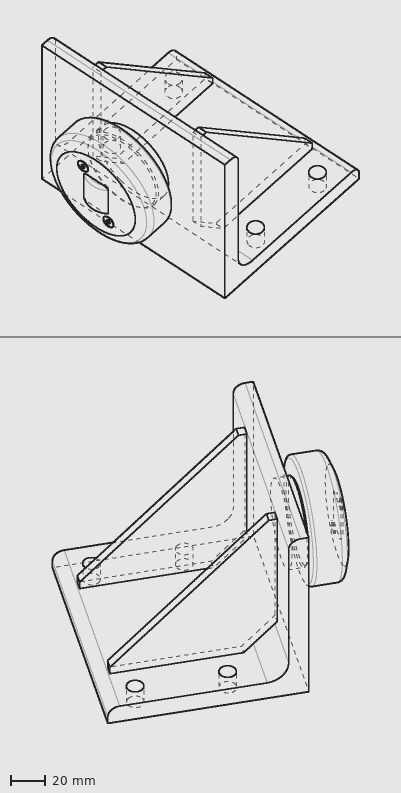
import cadquery as cq
import math

length = 140.0
overall_depth = 156.5
leg = 120.0
leg_thickness = 12.0
toe_radius = 7.0
root_radius = 12.8

gusset_thickness = 6.0
gusset_inner_half_gap = 35.2
gusset_reach = 111.9
gusset_end_height = 5.0
gusset_notch = 20.0

hole_diameter = 10.2
hole_half_spacing = 55.1
hole_rows = (44.9, 100.2)

axis_height = 70.1
hub_diameter = 54.0
hub_end_diameter = 52.0
hub_length = 10.3
roller_diameter = 78.0
roller_face_diameter = 60.1
roller_cone_start = 29.9
roller_front = 33.3
roller_front_radius = 3.9
roller_back_radius = 1.7

nose_width = 18.6
nose_height = 24.1
nose_rise = overall_depth - leg - roller_front
nose_end_radius = 1.9
screw_diameter = 7.8
screw_socket_diameter = 2.5
screw_rise = 0.5
screw_socket_depth = 1.5
screw_offset_x = 9.7
screw_offset_z = 17.5

overlap = 1.5


def make_bracket():
    """L-section with rounded toes and a root fillet, drilled through its base."""
    root = leg_thickness + root_radius
    quarter = math.sqrt(0.5)
    root_mid = root - root_radius * quarter
    toe_center = leg - toe_radius
    toe_mid = toe_center + toe_radius * quarter
    toe_inner = leg_thickness - toe_radius
    toe_inner_mid = toe_inner + toe_radius * quarter
    section = (
        cq.Workplane("YZ", origin=(-length / 2, 0, 0))
        .lineTo(leg, 0)
        .lineTo(leg, toe_inner)
        .threePointArc((toe_mid, toe_inner_mid), (toe_center, leg_thickness))
        .lineTo(root, leg_thickness)
        .threePointArc((root_mid, root_mid), (leg_thickness, root))
        .lineTo(leg_thickness, toe_center)
        .threePointArc((toe_inner_mid, toe_mid), (toe_inner, leg))
        .lineTo(0, leg)
        .close()
    )
    hole_centers = [(x, y) for x in (-hole_half_spacing, hole_half_spacing) for y in hole_rows]
    holes = cq.Workplane("XY").pushPoints(hole_centers).circle(hole_diameter / 2).extrude(leg_thickness)
    return section.extrude(length).cut(holes)


def make_gusset(x_start):
    """Triangular web with blunt ends and its inner corner cut off at 45 degrees."""
    inner = leg_thickness
    blunt = inner + gusset_end_height
    notch = inner + gusset_notch
    outline = [
        (notch, inner),
        (gusset_reach, inner),
        (gusset_reach, blunt),
        (blunt, gusset_reach),
        (inner, gusset_reach),
        (inner, notch),
    ]
    return cq.Workplane("YZ", origin=(x_start, 0, 0)).polyline(outline).close().extrude(gusset_thickness)


def face_plane(distance):
    """Plane facing -Y at the given distance in front of the upright, centred on the roller axis."""
    return cq.Workplane("XZ", origin=(0, -distance, axis_height))


def make_hub():
    edge = (hub_diameter - hub_end_diameter) / 2
    return face_plane(0).circle(hub_diameter / 2).extrude(hub_length).faces("<Y").chamfer(edge)


def make_roller():
    """Cylinder with a rounded back edge and a shallow cone leading to the flat front face."""
    body = (
        face_plane(hub_length)
        .circle(roller_diameter / 2)
        .extrude(roller_cone_start - hub_length)
    )
    cone = (
        face_plane(roller_cone_start)
        .circle(roller_diameter / 2)
        .workplane(offset=roller_front - roller_cone_start)
        .circle(roller_face_diameter / 2)
        .loft()
    )
    body = body.union(cone)
    body = body.edges("%CIRCLE").edges(">Y").fillet(roller_back_radius)
    widest = cq.selectors.RadiusNthSelector(-1)
    return body.edges("%CIRCLE").edges(widest).edges("<Y").fillet(roller_front_radius)


def make_nose():
    """Segment of a cylinder, curved across X, with rounded upper and lower ends."""
    half = nose_width / 2
    base = -roller_front
    segment = (
        cq.Workplane("XY", origin=(0, 0, axis_height - nose_height / 2))
        .moveTo(-half, base + overlap)
        .lineTo(-half, base)
        .threePointArc((0, base - nose_rise), (half, base))
        .lineTo(half, base + overlap)
        .close()
        .extrude(nose_height)
    )
    return segment.edges("%CIRCLE").fillet(nose_end_radius)


result = make_bracket()
result = result.union(make_gusset(gusset_inner_half_gap))
result = result.union(make_gusset(-gusset_inner_half_gap - gusset_thickness))
result = result.union(make_hub()).union(make_roller()).union(make_nose())

screw_front = roller_front + screw_rise
screw_centers = [(-screw_offset_x, screw_offset_z), (screw_offset_x, -screw_offset_z)]
screws = face_plane(screw_front).pushPoints(screw_centers).circle(screw_diameter / 2).extrude(-overlap)
sockets = (
    face_plane(screw_front)
    .pushPoints(screw_centers)
    .circle(screw_socket_diameter / 2)
    .extrude(-screw_socket_depth)
)
result = result.union(screws).cut(sockets)